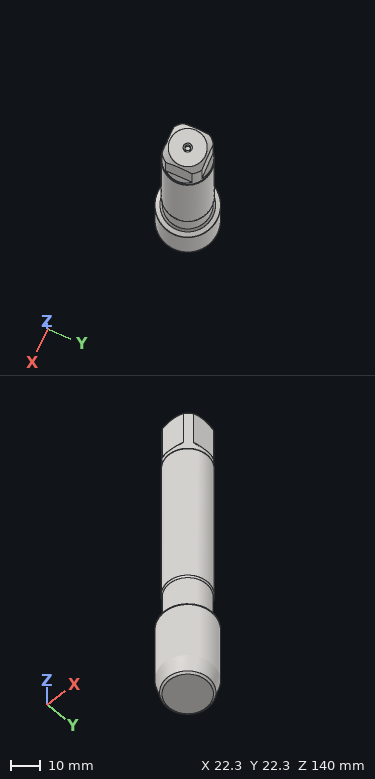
import cadquery as cq

total_length = 140.0
lead_length = 7.0
tip_chamfer = 0.7
head_top = 34.0
shoulder_height = 0.4
shoulder_chamfer_height = 0.5
flare_height = 1.4
neck_top = 51.2
shank_top = 119.5
square_length = 17.1
shank_lower_chamfer = 0.8
shank_upper_chamfer = 0.5

head_radius = 22.3 / 2
shoulder_radius = 22.1 / 2
lead_end_radius = 9.5
tip_radius = 8.7
flare_radius = 9.4
neck_radius = 17.2 / 2
shank_radius = 18.0 / 2
collar_radius = 17.6 / 2
top_face_radius = 6.6

across_flats = 14.7
top_chamfer_height = 1.8

center_hole_radius = 2.0 / 2
countersink_radius = 1.5
center_hole_depth = 2.8


def revolve_profile(points):
    """Turn a closed (radius, height) outline about the Z axis."""
    return cq.Workplane("XZ").polyline(points).close().revolve(360, (0, 0), (0, 1))


def make_head():
    """Threading head, with a tapered lead at its lower end."""
    return revolve_profile([
        (0, 0),
        (tip_radius, 0),
        (lead_end_radius, tip_chamfer),
        (head_radius, lead_length),
        (head_radius, head_top),
        (0, head_top),
    ])


def make_square_cutter():
    """Ring that leaves the square, with flats running out at 45 degrees."""
    square_bottom = total_length - square_length
    half_flats = across_flats / 2
    runout = shank_radius - half_flats
    outer_width = 2 * shank_radius
    ring = cq.Workplane("XY").workplane(offset=square_bottom - runout)
    ring = ring.rect(outer_width, outer_width).extrude(square_length + runout)
    runout_core = (
        cq.Workplane("XY").workplane(offset=square_bottom - runout)
        .rect(outer_width, outer_width)
        .workplane(offset=runout)
        .rect(across_flats, across_flats)
        .loft(ruled=True)
    )
    square_core = (
        cq.Workplane("XY").workplane(offset=square_bottom)
        .rect(across_flats, across_flats).extrude(square_length)
    )
    return ring.cut(runout_core).cut(square_core)


def make_center_hole():
    """Small blind hole with a 90 degree countersink."""
    countersink_depth = countersink_radius - center_hole_radius
    return revolve_profile([
        (0, total_length),
        (countersink_radius, total_length),
        (center_hole_radius, total_length - countersink_depth),
        (center_hole_radius, total_length - center_hole_depth),
        (0, total_length - center_hole_depth),
    ])


def make_shank():
    """Shoulder, flared neck, cylindrical shank and driving square above the head."""
    shoulder_edge = head_top + shoulder_height
    flare_bottom = shoulder_edge + shoulder_chamfer_height
    blank = revolve_profile([
        (0, head_top),
        (shoulder_radius, head_top),
        (shoulder_radius, shoulder_edge),
        (flare_radius, flare_bottom),
        (neck_radius, flare_bottom + flare_height),
        (neck_radius, neck_top),
        (shank_radius, neck_top + shank_lower_chamfer),
        (shank_radius, shank_top - shank_upper_chamfer),
        (collar_radius, shank_top),
        (collar_radius, total_length - top_chamfer_height),
        (top_face_radius, total_length),
        (0, total_length),
    ])
    return blank.cut(make_square_cutter()).cut(make_center_hole())


head = make_head()
shank = make_shank()

result = cq.Compound.makeCompound([head.val(), shank.val()])